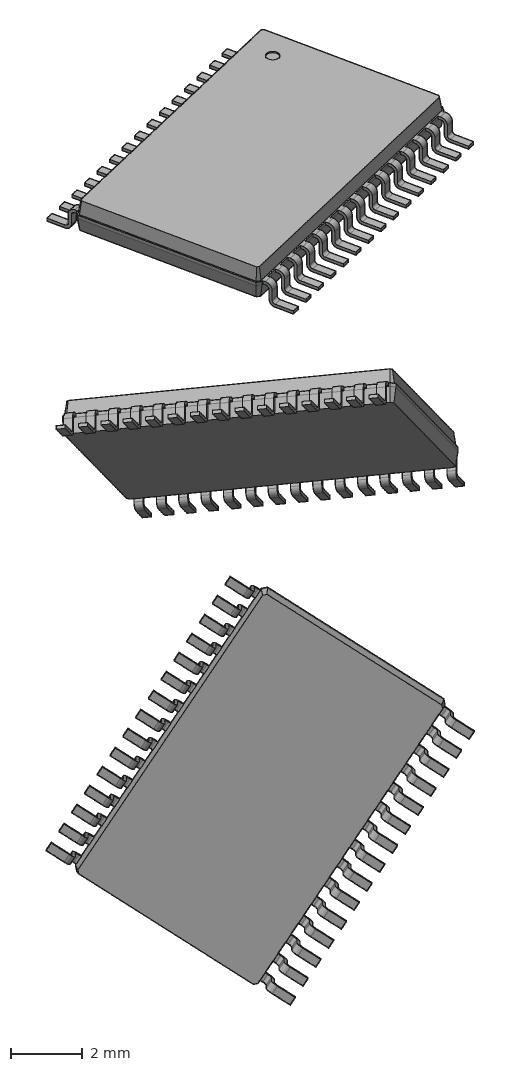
import cadquery as cq
import math

body_length = 9.7
body_width = 6.1
overall_height = 1.2
standoff = 0.2
upper_ledge = 0.05
corner_chamfer = 0.13
draft_angle = 8.5

mark_diameter = 0.4
mark_x = -2.02
mark_y = 3.83
mark_depth = 0.05

lead_span = 8.1
lead_count = 15
lead_pitch = 0.65
lead_width = 0.26
lead_thickness = 0.11
shank_face_x = 3.36
shoulder_inner_radius = 0.12
heel_inner_radius = 0.1
lead_embed = 0.19

shoulder_outer_radius = shoulder_inner_radius + lead_thickness
heel_outer_radius = heel_inner_radius + lead_thickness
body_mid_z = (standoff + overall_height) / 2
band_bottom = body_mid_z - lead_thickness / 2
band_top = body_mid_z + lead_thickness / 2
half_depth = overall_height - band_top


def chamfered_plate(z, inset):
    """Rectangle with chamfered corners, drawn at height z and inset from the band outline."""
    x = body_width / 2 - inset
    y = body_length / 2 - inset
    chamfer = corner_chamfer - inset * (2 - math.sqrt(2))
    points = [
        (x, y - chamfer),
        (x - chamfer, y),
        (chamfer - x, y),
        (-x, y - chamfer),
        (-x, chamfer - y),
        (chamfer - x, -y),
        (x - chamfer, -y),
        (x, chamfer - y),
    ]
    return cq.Workplane("XY", origin=(0, 0, z)).polyline(points).close()


def make_body():
    """Straight parting band with a drafted half above and below it."""
    band = chamfered_plate(band_bottom, 0).extrude(lead_thickness)
    upper = chamfered_plate(band_top, upper_ledge).extrude(half_depth, taper=draft_angle)
    lower = chamfered_plate(band_bottom, 0).extrude(-half_depth, taper=draft_angle)
    return band.union(upper).union(lower)


def make_lead():
    """One lead on the +X side, centred on Y = 0."""
    toe_x = lead_span / 2
    root_x = body_width / 2 - lead_embed
    shank_back_x = shank_face_x - lead_thickness
    shoulder_x = shank_face_x - shoulder_outer_radius
    heel_x = shank_back_x + heel_outer_radius
    shoulder_z = band_top - shoulder_outer_radius
    heel_z = heel_outer_radius
    profile = (
        cq.Workplane("XZ")
        .moveTo(root_x, band_top)
        .lineTo(shoulder_x, band_top)
        .radiusArc((shank_face_x, shoulder_z), shoulder_outer_radius)
        .lineTo(shank_face_x, heel_z)
        .radiusArc((heel_x, lead_thickness), -heel_inner_radius)
        .lineTo(toe_x, lead_thickness)
        .lineTo(toe_x, 0)
        .lineTo(heel_x, 0)
        .radiusArc((shank_back_x, heel_z), heel_outer_radius)
        .lineTo(shank_back_x, shoulder_z)
        .radiusArc((shoulder_x, band_bottom), -shoulder_inner_radius)
        .lineTo(root_x, band_bottom)
        .close()
    )
    return profile.extrude(lead_width / 2, both=True)


def make_pin_mark():
    """Shallow round recess beside pin 1."""
    floor = (mark_x, mark_y, overall_height - mark_depth)
    return cq.Workplane("XY", origin=floor).circle(mark_diameter / 2).extrude(mark_depth)


result = make_body().cut(make_pin_mark())

right_lead = make_lead()
left_lead = right_lead.mirror("YZ")
for index in range(lead_count):
    lead_y = (index - (lead_count - 1) / 2) * lead_pitch
    for lead in (left_lead, right_lead):
        result = result.union(lead.translate((0, lead_y, 0)))